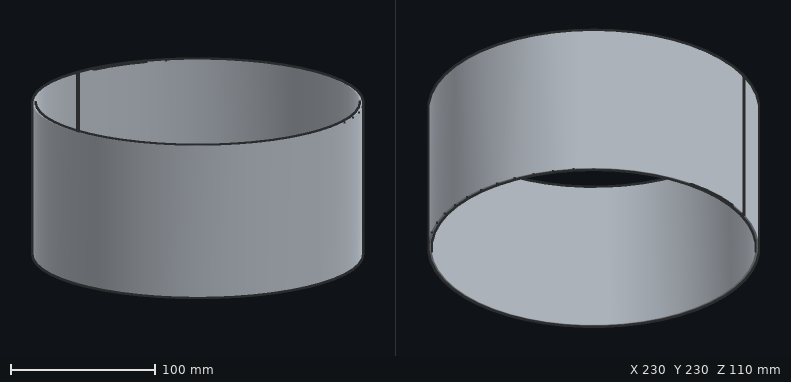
import cadquery as cq

outer_diameter = 230.0
height = 110.0
wall = 2.5
rim_fillet = 0.5
slit_width = 2.0

outer_radius = outer_diameter / 2
inner_radius = outer_radius - wall

sleeve = cq.Workplane("XY").circle(outer_radius).circle(inner_radius).extrude(height)
sleeve = sleeve.faces("|Z").edges().fillet(rim_fillet)

slit_depth = 4 * wall
slit = (
    cq.Workplane("XY")
    .center(-outer_radius, slit_width / 2)
    .rect(slit_depth, slit_width)
    .extrude(height)
)

result = sleeve.cut(slit)